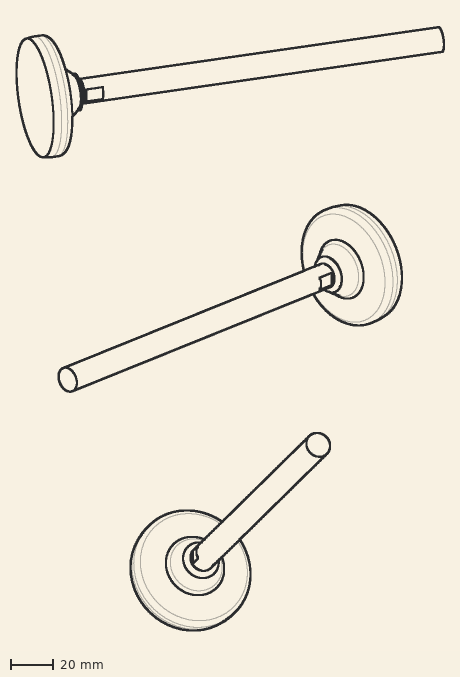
import cadquery as cq
import math

total_length = 202.0

foot_radius = 58.0 / 2
sole_radius = 28.5
taper_height = 3.8
round_start = 6.9
round_end = 9.9
shoulder_radius = 26.7
slope_end = 11.7
slope_end_radius = 14.5
dome_start = 13.5
dome_start_radius = 13.0
dome_bulge = 0.6
dome_top = 20.2
dome_top_radius = 8.0
lip_height = 20.8
lip_radius = 8.9
collar_top = 22.2

rod_radius = 12.0 / 2
rod_start = collar_top
rod_chamfer = 0.6
neck_radius = rod_radius - rod_chamfer
neck_depth = 2.0
neck_start = collar_top - neck_depth

flat_start = 23.8
flat_end = 32.1
across_flats = 10.0


def arc_middle(start, end, bulge):
    """Middle point of an arc that rises above its chord by the bulge."""
    dr = end[0] - start[0]
    dy = end[1] - start[1]
    chord = math.hypot(dr, dy)
    middle_radius = (start[0] + end[0]) / 2 + bulge * dy / chord
    middle_height = (start[1] + end[1]) / 2 - bulge * dr / chord
    return (middle_radius, middle_height)


def revolve_about_y(profile):
    return profile.close().revolve(360, (0, 0), (0, 1))


def make_foot():
    round_bottom = (foot_radius, round_start)
    round_top = (shoulder_radius, round_end)
    round_bulge = math.dist(round_bottom, round_top) * (math.sqrt(2) - 1) / 2
    dome_bottom = (dome_start_radius, dome_start)
    dome_rim = (dome_top_radius, dome_top)
    profile = (
        cq.Workplane("XY")
        .lineTo(sole_radius, 0)
        .lineTo(foot_radius, taper_height)
        .lineTo(*round_bottom)
        .threePointArc(arc_middle(round_bottom, round_top, round_bulge), round_top)
        .lineTo(slope_end_radius, slope_end)
        .lineTo(*dome_bottom)
        .threePointArc(arc_middle(dome_bottom, dome_rim, dome_bulge), dome_rim)
        .lineTo(lip_radius, lip_height)
        .lineTo(neck_radius, collar_top)
        .lineTo(neck_radius, neck_start)
        .lineTo(0, neck_start)
    )
    return revolve_about_y(profile)


def make_spindle():
    profile = (
        cq.Workplane("XY")
        .moveTo(0, neck_start)
        .lineTo(neck_radius, neck_start)
        .lineTo(neck_radius, rod_start)
        .lineTo(rod_radius, rod_start + rod_chamfer)
        .lineTo(rod_radius, total_length)
        .lineTo(0, total_length)
    )
    spindle = revolve_about_y(profile)
    flat_length = flat_end - flat_start
    cut_width = rod_radius
    for side in (-1, 1):
        flat_cut = cq.Workplane("XY").box(cut_width, flat_length, 2 * rod_radius).translate(
            (side * (across_flats + cut_width) / 2, (flat_start + flat_end) / 2, 0)
        )
        spindle = spindle.cut(flat_cut)
    return spindle


foot = make_foot()
spindle = make_spindle()
result = cq.Compound.makeCompound([foot.val(), spindle.val()])